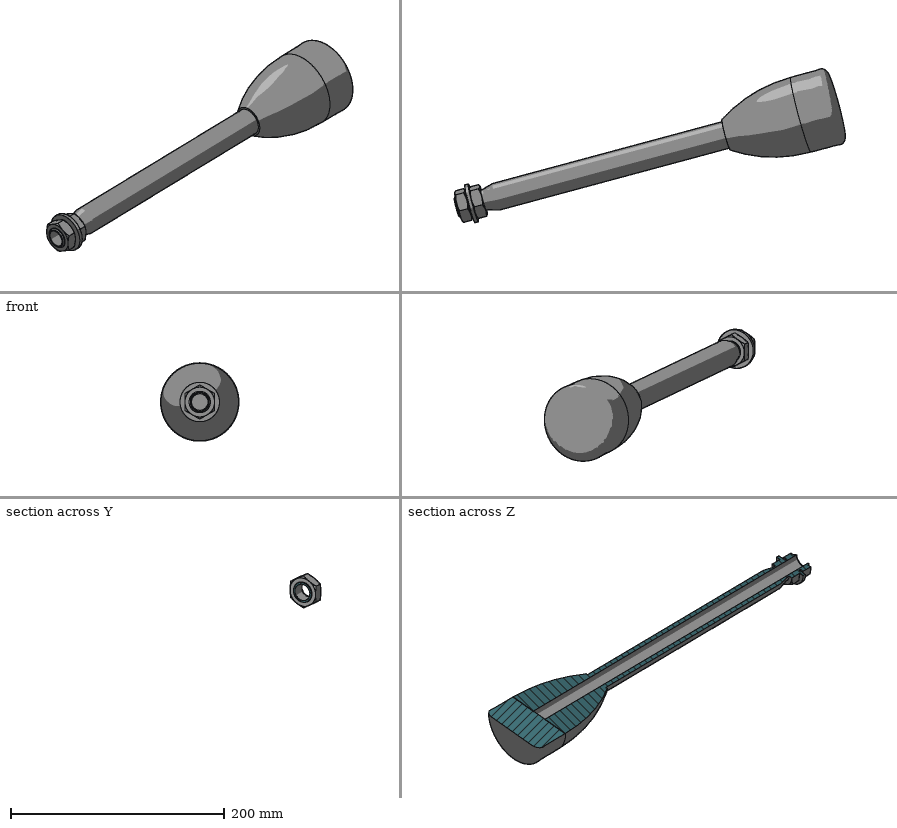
import cadquery as cq
import math

total_length = 370.0

cap_diameter = 73.5
barrel_diameter = 73.0
barrel_start = 339.0
barrel_end = 353.5
end_round_length = 6.3
end_round_width = 9.0

flare_diameter = 72.5
flare_start = 262.0
flare_end = 332.5
rim_diameter = 29.5
joint_height = 2.2

shaft_diameter = 26.0
bore_diameter = 15.5
thread_diameter = 20.0
tip_chamfer = 1.0
shoulder_top = 38.5
shoulder_middle = 33.0
shoulder_bottom = 28.5
shoulder_middle_diameter = 23.0

nut_width = 27.7
nut_height = 10.0
nut_chamfer_angle = 30.0
washer_diameter = 37.0
washer_thickness = 3.5
washer_gap = 1.0
front_nut_start = 2.0

washer_start = front_nut_start + nut_height + washer_gap
rear_nut_start = washer_start + washer_thickness

joint = flare_end + joint_height
cone_slope = (barrel_diameter - flare_diameter) / (barrel_start - flare_end)
joint_diameter = flare_diameter + cone_slope * joint_height


def disc(diameter, start, length):
    """Cylinder about the Y axis, from start to start + length."""
    return cq.Workplane("XZ", origin=(0, start, 0)).circle(diameter / 2).extrude(-length)


def start_profile(start):
    """Half profile with radius along Z and position along Y, begun on the axis."""
    return cq.Workplane("ZY").moveTo(0, start)


def revolve_about_y(profile):
    return profile.close().revolve(360, (0, 0, 0), (0, 1, 0))


def make_cap():
    """Solid cap that widens slightly towards an elliptically rounded end."""
    profile = (
        start_profile(joint)
        .lineTo(joint_diameter / 2, joint)
        .lineTo(barrel_diameter / 2, barrel_start)
        .lineTo(barrel_diameter / 2, barrel_end)
        .lineTo(cap_diameter / 2, total_length - end_round_length)
        .ellipseArc(end_round_width, end_round_length, 0, 90, sense=1)
        .lineTo(0, total_length)
    )
    return revolve_about_y(profile)


def make_flare():
    """Flared top of the pole; its arc ends parallel to the axis."""
    flare_radius = flare_diameter / 2
    rim_radius = rim_diameter / 2
    length = flare_end - flare_start
    drop = flare_radius - rim_radius
    arc_radius = (length**2 + drop**2) / (2 * drop)
    half_angle = math.asin(length / arc_radius) / 2
    arc_middle = (
        flare_radius - arc_radius * (1 - math.cos(half_angle)),
        flare_end - arc_radius * math.sin(half_angle),
    )
    profile = (
        start_profile(flare_start)
        .lineTo(rim_radius, flare_start)
        .threePointArc(arc_middle, (flare_radius, flare_end))
        .lineTo(joint_diameter / 2, joint)
        .lineTo(0, joint)
    )
    return revolve_about_y(profile)


def make_shaft():
    """Round shaft that tapers in two steps to a chamfered threaded end."""
    profile = (
        start_profile(0)
        .lineTo(thread_diameter / 2 - tip_chamfer, 0)
        .lineTo(thread_diameter / 2, tip_chamfer)
        .lineTo(thread_diameter / 2, shoulder_bottom)
        .lineTo(shoulder_middle_diameter / 2, shoulder_middle)
        .lineTo(shaft_diameter / 2, shoulder_top)
        .lineTo(shaft_diameter / 2, flare_start)
        .lineTo(0, flare_start)
    )
    return revolve_about_y(profile)


def make_nut(start):
    """Hexagonal nut with flats facing +X and -X and the corners chamfered at both ends."""
    flat_radius = nut_width / 2
    corner_radius = nut_width / math.sqrt(3)
    chamfer_length = (corner_radius - flat_radius) * math.tan(math.radians(nut_chamfer_angle))
    end = start + nut_height
    hexagon = (
        cq.Workplane("XZ", origin=(0, start, 0))
        .transformed(rotate=(0, 0, 30))
        .polygon(6, 2 * corner_radius)
        .extrude(-nut_height)
    )
    envelope = revolve_about_y(
        start_profile(start)
        .lineTo(flat_radius, start)
        .lineTo(corner_radius, start + chamfer_length)
        .lineTo(corner_radius, end - chamfer_length)
        .lineTo(flat_radius, end)
        .lineTo(0, end)
    )
    return hexagon.intersect(envelope)


def make_pole():
    """Flare, shaft, washer and nuts in one piece, bored through to the cap."""
    pole = make_shaft().union(make_flare())
    pole = pole.union(disc(washer_diameter, washer_start, washer_thickness))
    for start in (front_nut_start, rear_nut_start):
        pole = pole.union(make_nut(start))
    return pole.cut(disc(bore_diameter, 0, joint))


cap = make_cap()
pole = make_pole()

result = cq.Compound.makeCompound([cap.val(), pole.solids().val()])